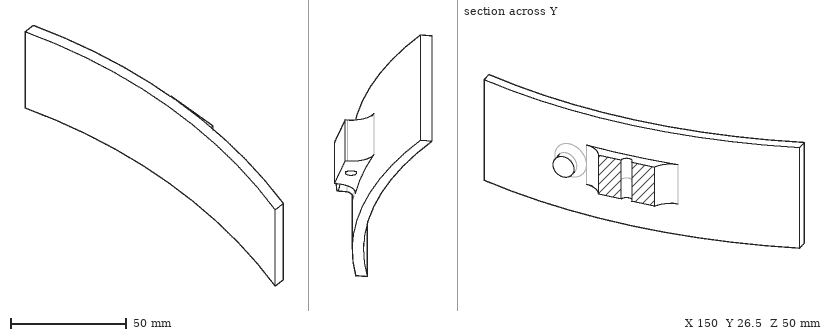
import cadquery as cq
import math

plate_width = 150.0
plate_height = 50.0
plate_thickness = 5.0
inner_radius = 250.0
outer_radius = inner_radius + plate_thickness

lug_width = 25.0
lug_length = 19.5
lug_rise = 10.0
lug_fillet = 10.0
lug_hole_diameter = 5.0
lug_hole_depth = 5.0

peg_x = 30.0
peg_diameter = 10.0
peg_rise = 5.0
peg_fillet = 3.0


def arc_y(radius, x):
    """Y of a circle about the origin at the given X."""
    return math.sqrt(radius**2 - x**2)


def make_plate():
    half_width = plate_width / 2
    outer_end = arc_y(outer_radius, half_width)
    inner_end = arc_y(inner_radius, half_width)
    return (
        cq.Workplane("XY")
        .moveTo(-half_width, inner_end)
        .lineTo(-half_width, outer_end)
        .threePointArc((0, outer_radius), (half_width, outer_end))
        .lineTo(half_width, inner_end)
        .threePointArc((0, inner_radius), (-half_width, inner_end))
        .close()
        .extrude(plate_height / 2, both=True)
    )


def make_lug():
    """Lug whose concave flanks run tangent into the plate's outer face."""
    half_width = lug_width / 2
    top = outer_radius + lug_rise
    centre_x = half_width + lug_fillet
    centre_y = arc_y(outer_radius + lug_fillet, centre_x)
    toe_scale = outer_radius / (outer_radius + lug_fillet)
    toe_x = centre_x * toe_scale
    toe_y = centre_y * toe_scale
    toe_angle = math.atan2(toe_y - centre_y, toe_x - centre_x)
    middle_angle = (toe_angle - math.pi) / 2
    middle_x = centre_x + lug_fillet * math.cos(middle_angle)
    middle_y = centre_y + lug_fillet * math.sin(middle_angle)
    root_y = outer_radius - plate_thickness / 2
    return (
        cq.Workplane("XY")
        .moveTo(-half_width, top)
        .lineTo(half_width, top)
        .lineTo(half_width, centre_y)
        .threePointArc((middle_x, middle_y), (toe_x, toe_y))
        .lineTo(half_width, root_y)
        .lineTo(-half_width, root_y)
        .lineTo(-toe_x, toe_y)
        .threePointArc((-middle_x, middle_y), (-half_width, centre_y))
        .close()
        .extrude(lug_length / 2, both=True)
    )


def make_lug_hole():
    return (
        cq.Workplane("XY")
        .center(0, outer_radius + lug_rise - lug_hole_depth)
        .circle(lug_hole_diameter / 2)
        .extrude(lug_length, both=True)
    )


def make_peg():
    """Cylinder along Y, rooted halfway into the plate."""
    root_y = arc_y(outer_radius, peg_x) - plate_thickness / 2
    length = outer_radius + peg_rise - root_y
    return cq.Workplane("XZ", origin=(peg_x, root_y, 0)).circle(peg_diameter / 2).extrude(-length)


def add_peg(plate):
    """Join the peg and round the edge where it meets the plate."""
    joined = plate.union(make_peg())
    peg_half_box = (peg_diameter + peg_fillet) / 2
    root_edges = cq.selectors.BoxSelector(
        (peg_x - peg_half_box, inner_radius, -peg_half_box),
        (peg_x + peg_half_box, outer_radius, peg_half_box),
    )
    return joined.edges(root_edges).edges("not %LINE").fillet(peg_fillet)


plate_with_peg = add_peg(make_plate())
result = plate_with_peg.union(make_lug()).cut(make_lug_hole())